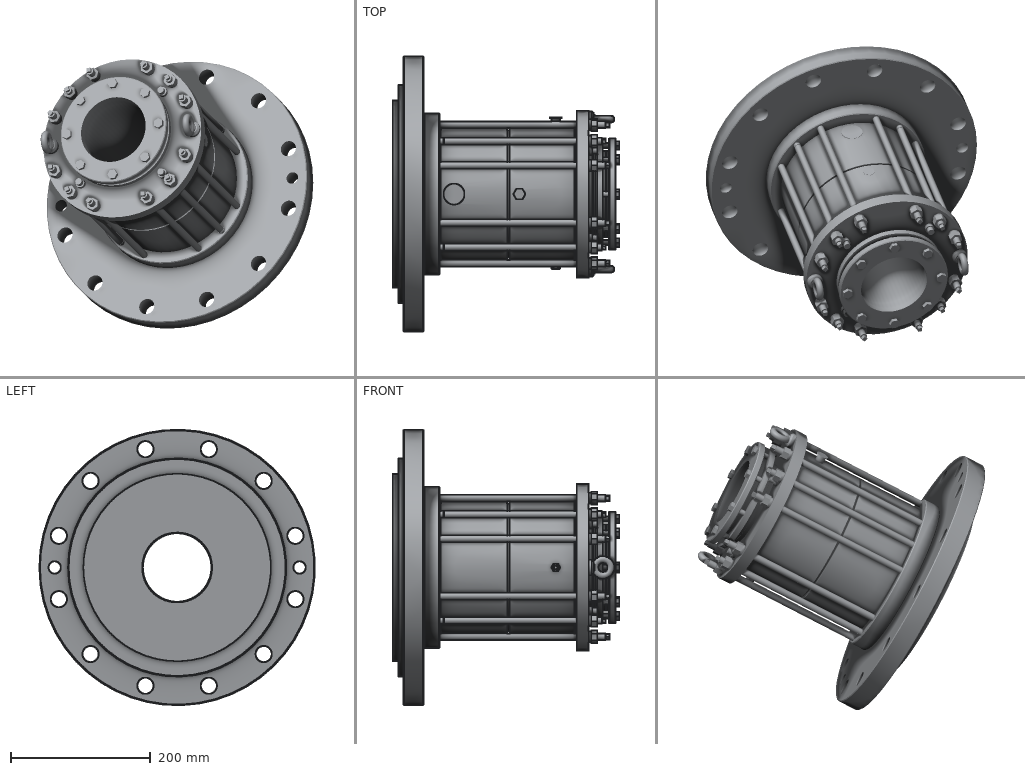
import cadquery as cq
import math


seal_radius = 134.3
seal_end = 8.0
step_radius = 156.5
flange_start = 15.5
flange_radius = 197.5
flange_end = 44.5
hub_radius = 115.7
hub_end = 67.5
edge_chamfer = 1.0
bore_radius = 49.0

flange_hole_circle = 175.5
bolt_hole_diameter = 23.0
bolt_hole_count = 12
jack_hole_diameter = 17.5

body_radius = 100.0
groove_radius = 91.5
groove_start = 164.5
groove_width = 3.5
relief_width = 2.5
front_relief_width = 1.5
cover_start = 264.0
cover_end = 281.0
cover_radius = 119.5

rod_circle = 107.5
rod_diameter = 10.0
rod_end = 305.0
short_rod_setback = 5.0
rod_tip_length = 5.0
rod_tip_neck_length = 0.8
rod_square = 6.0
washer_thickness = 3.5
washer_diameter = 16.0
nut_width = 16.0
nut_length = 9.0
rod_mark_offset = 5.0
rod_mark_width = 1.0
rod_mark_depth = 0.6

ring_radius = 62.0
ring_groove_position = 286.5
ring_end = 290.7
waist_radius = 57.0
plate_start = 293.5
plate_end = 301.5
plate_radius = 78.2
neck_radius = 62.0
neck_groove_position = 305.7
fine_groove = 0.8
gland_start = 310.0
gland_end = 320.0
gland_radius = 80.0
bolt_circle = 69.5
bolt_count = 8
bolt_diameter = 8.0
bolt_head_width = 12.5
overall_length = 325.0

screw_circle = 88.0
screw_washer_diameter = 13.0
screw_washer_end = 286.5
screw_diameter = 9.5
screw_end = 293.5

eye_collar_diameter = 22.0
eye_collar_height = 7.5
eye_collar_chamfer = 2.8
eye_neck_diameter = 12.5
eye_ring_radius = 11.5
eye_tube_radius = 4.95
eye_center = 301.5

plug_position = 234.0
plug_root = 93.0
hex_plug_width = 11.0
hex_plug_top = 107.5
plug_chamfer = 1.0
socket_diameter = 5.0
socket_depth = 2.0
button_diameter = 17.5
button_neck_diameter = 12.5
button_top = 110.2
button_thickness = 1.5
top_cap_height = 0.5
large_cap_position = 88.0
large_cap_diameter = 30.0
small_cap_position = 181.7
small_cap_diameter = 17.5


def disc(radius, start, end):
    """Solid disc on the X axis."""
    return cq.Workplane("YZ", origin=(start, 0, 0)).circle(radius).extrude(end - start)


def rod(diameter, start, end, y, z):
    """Round bar parallel to X."""
    return cq.Workplane("YZ", origin=(start, y, z)).circle(diameter / 2).extrude(end - start)


def prism(sides, width, start, end, y, z, turn):
    """Bar parallel to X with a regular section, given its width across flats."""
    corner_diameter = width / math.cos(math.pi / sides)
    bar = cq.Workplane("YZ").polygon(sides, corner_diameter).extrude(end - start)
    return bar.rotate((0, 0, 0), (1, 0, 0), turn).translate((start, y, z))


def polar(radius, angle):
    """Point (y, z) on a circle about the X axis; the angle runs from +Y to +Z."""
    return radius * math.cos(math.radians(angle)), radius * math.sin(math.radians(angle))


def make_flange():
    flange = disc(seal_radius, 0, seal_end)
    flange = flange.union(disc(step_radius, seal_end, flange_start).faces("<X").edges().chamfer(edge_chamfer))
    flange = flange.union(disc(flange_radius, flange_start, flange_end).edges().chamfer(edge_chamfer))
    flange = flange.union(disc(hub_radius, flange_end, hub_end).edges().chamfer(edge_chamfer))
    for index in range(bolt_hole_count):
        y, z = polar(flange_hole_circle, (index + 0.5) * 360 / bolt_hole_count)
        flange = flange.cut(rod(bolt_hole_diameter, 0, flange_end, y, z))
    for y in (-flange_hole_circle, flange_hole_circle):
        flange = flange.cut(rod(jack_hole_diameter, 0, flange_end, y, 0))
    return flange


def make_body():
    body = disc(groove_radius, hub_end, cover_start)
    body = body.union(disc(body_radius, hub_end + front_relief_width, groove_start))
    rear_barrel = disc(body_radius, groove_start + groove_width, cover_start - relief_width)
    body = body.union(rear_barrel.faces(">X").edges().chamfer(edge_chamfer))
    return body.union(disc(cover_radius, cover_start, cover_end))


def make_tie_rod(angle, setback):
    y, z = polar(rod_circle, angle)
    end = rod_end - setback
    tip_start = end + rod_tip_neck_length
    nut_start = cover_end + washer_thickness
    tie_rod = rod(rod_diameter, hub_end, end, y, z)
    if setback:
        mark_start = hub_end + rod_mark_offset
        mark_end = mark_start + rod_mark_width
        tie_rod = tie_rod.cut(
            rod(rod_diameter, mark_start, mark_end, y, z).cut(
                rod(rod_diameter - 2 * rod_mark_depth, mark_start, mark_end, y, z)
            )
        )
    tie_rod = tie_rod.union(rod(rod_square, end, tip_start, y, z))
    tie_rod = tie_rod.union(
        prism(4, rod_square, tip_start, tip_start + rod_tip_length, y, z, angle + 22.5)
    )
    tie_rod = tie_rod.union(rod(washer_diameter, cover_end, nut_start, y, z))
    return tie_rod.union(prism(6, nut_width, nut_start, nut_start + nut_length, y, z, angle + 22.5))


def make_groove(radius, start):
    """Ring of material to cut for a hairline groove in a disc of the given radius."""
    end = start + fine_groove
    return disc(radius, start, end).cut(disc(radius - fine_groove, start, end))


def make_gland():
    gland = disc(ring_radius, cover_end, ring_end).cut(make_groove(ring_radius, ring_groove_position))
    gland = gland.union(disc(waist_radius, ring_end, plate_start))
    gland = gland.union(disc(plate_radius, plate_start, plate_end))
    neck = disc(neck_radius, plate_end, gland_start)
    gland = gland.union(neck.cut(make_groove(neck_radius, neck_groove_position)))
    gland = gland.union(disc(gland_radius, gland_start, gland_end).edges().chamfer(edge_chamfer))
    for index in range(bolt_count):
        angle = index * 360 / bolt_count
        y, z = polar(bolt_circle, angle)
        gland = gland.union(rod(bolt_diameter, plate_end, gland_end, y, z))
        gland = gland.union(prism(6, bolt_head_width, gland_end, overall_length, y, z, angle + 90))
    return gland


def make_cover_screw(angle):
    y, z = polar(screw_circle, angle)
    screw = rod(screw_washer_diameter, cover_end, screw_washer_end, y, z)
    return screw.union(rod(screw_diameter, screw_washer_end, screw_end, y, z))


def make_lifting_eye(side):
    y = side * rod_circle
    collar_end = cover_end + eye_collar_height
    eye = rod(eye_collar_diameter, cover_end, collar_end, y, 0)
    eye = eye.faces(">X").edges().chamfer(eye_collar_chamfer)
    eye = eye.union(rod(eye_neck_diameter, collar_end, eye_center - eye_ring_radius, y, 0))
    ring = cq.Solid.makeTorus(
        eye_ring_radius, eye_tube_radius, cq.Vector(eye_center, y, 0), cq.Vector(0, 1, 0)
    )
    return eye.union(cq.Workplane(ring))


def side_plane(distance):
    """Workplane facing -Y at the plug position, the given distance from the axis on the -Y side."""
    return cq.Workplane("XZ", origin=(plug_position, -distance, 0))


def make_hex_plug():
    """Hexagon plug with a blind socket, pointing toward -Y."""
    height = hex_plug_top - plug_root
    corner_diameter = hex_plug_width / math.cos(math.pi / 6)
    head = side_plane(plug_root).polygon(6, corner_diameter).extrude(height)
    crown = side_plane(plug_root).circle(corner_diameter / 2).extrude(height)
    crown = crown.faces("<Y").chamfer(plug_chamfer)
    socket = side_plane(hex_plug_top - socket_depth).circle(socket_diameter / 2).extrude(socket_depth)
    return head.intersect(crown).cut(socket)


def make_button_plug():
    """Round button on a narrower neck, pointing toward +Y."""
    neck = side_plane(-button_top).circle(button_neck_diameter / 2).extrude(button_top - plug_root)
    button = side_plane(-button_top).circle(button_diameter / 2).extrude(button_thickness)
    return neck.union(button)


def make_top_caps():
    """Round cap and hexagon cap lying almost flush with the top of the body."""
    height = body_radius + top_cap_height - plug_root
    round_cap = cq.Workplane("XY", origin=(large_cap_position, 0, plug_root))
    round_cap = round_cap.circle(large_cap_diameter / 2).extrude(height)
    hex_cap = cq.Workplane("XY", origin=(small_cap_position, 0, plug_root))
    hex_cap = hex_cap.polygon(6, small_cap_diameter).extrude(height)
    return round_cap.union(hex_cap)


result = make_flange().union(make_body()).union(make_gland())
result = result.union(make_hex_plug()).union(make_button_plug()).union(make_top_caps())
for quadrant in range(4):
    for angle, setback in ((22.5, 0), (45, short_rod_setback), (67.5, 0)):
        result = result.union(make_tie_rod(90 * quadrant + angle, setback))
    result = result.union(make_cover_screw(90 * quadrant + 45))
for side in (-1, 1):
    result = result.union(make_lifting_eye(side))
result = result.cut(disc(bore_radius, 0, overall_length))
bore_edge = cq.selectors.RadiusNthSelector(0)
result = result.faces("<X").edges(bore_edge).chamfer(edge_chamfer)